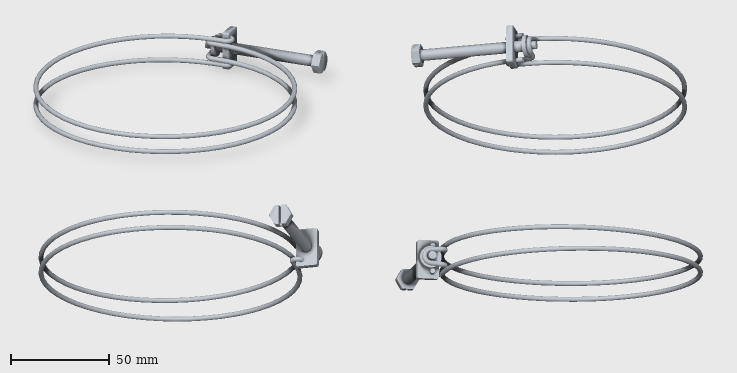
import cadquery as cq
import math


wire_dia = 2.5
ring_outer_dia = 134.6
ring_r = (ring_outer_dia - wire_dia) / 2
ring_z = 4.1
hook_z = 6.6
hook_start_x = 5.1
hook_bend_r = 2.6
hook_turn = math.radians(172)
hook_end_x = -0.9
loop_r = 3.5
loop_bend_r = 3.1

screw_y = 73.9
shaft_dia = 5.9
tip_dia = 4.1
collar_dia = 11.2
tip_end_x = -8.4
collar_x = -3.8
collar_length = 1.9
head_x = 52.0
head_length = 4.4
head_across_corners = 11.9
head_chamfer = 0.6
slot_width = 1.3
slot_depth = 2.5

plate_x = 2.8
plate_thickness = 3.4
plate_width = 11.2
plate_height = 20.0
plate_corner_r = 1.0

loop_x = collar_x - wire_dia / 2 - 0.07


def arc(center, radius, first, second, turn):
    """Arc from center + radius * first, turning towards the direction second."""
    def point(angle):
        return center + (first * math.cos(angle) + second * math.sin(angle)) * radius
    return cq.Edge.makeThreePointArc(point(0), point(turn / 2), point(turn))


def hook_path():
    """Path from the ring through the plate to the free end of the upper strand."""
    start = cq.Vector(hook_start_x, ring_r, hook_z)
    center = start + cq.Vector(0, hook_bend_r, 0)
    lead = cq.Edge.makeLine(cq.Vector(0, ring_r, hook_z), start)
    bend = arc(center, hook_bend_r, cq.Vector(0, -1, 0), cq.Vector(1, 0, 0), hook_turn)
    bend_end = bend.endPoint()
    tail_length = (bend_end.x - hook_end_x) / -math.cos(hook_turn)
    tail_direction = cq.Vector(math.cos(hook_turn), math.sin(hook_turn), 0)
    tail = cq.Edge.makeLine(bend_end, bend_end + tail_direction * tail_length)
    return [lead, bend, tail]


def ring_path():
    """Two half rings: one level, one tilted so that it climbs from ring_z to hook_z."""
    front = cq.Vector(0, -ring_r, ring_z)
    tilt_r = math.hypot(ring_r, (hook_z - ring_z) / 2)
    tilted = cq.Edge.makeThreePointArc(
        cq.Vector(0, ring_r, hook_z), cq.Vector(-tilt_r, 0, (hook_z + ring_z) / 2), front
    )
    level = cq.Edge.makeThreePointArc(
        front, cq.Vector(ring_r, 0, ring_z), cq.Vector(0, ring_r, ring_z)
    )
    return [tilted, level]


def loop_path():
    """Path from the level half ring up to the crown of the loop on the mid plane."""
    rise = screw_y - ring_r
    lean = math.acos(loop_r / math.hypot(rise, ring_z)) - math.atan2(rise, ring_z)
    leg_up = cq.Vector(0, math.cos(lean), -math.sin(lean))
    leg_out = cq.Vector(0, math.sin(lean), math.cos(lean))
    bend_start = cq.Vector(loop_x + loop_bend_r, ring_r, ring_z)
    lead = cq.Edge.makeLine(cq.Vector(0, ring_r, ring_z), bend_start)
    bend = arc(
        bend_start + leg_up * loop_bend_r, loop_bend_r, leg_up * -1, cq.Vector(-1, 0, 0), math.pi / 2
    )
    center = cq.Vector(loop_x, screw_y, 0)
    crown = arc(center, loop_r, leg_out, leg_up, math.pi / 2 - lean)
    leg = cq.Edge.makeLine(bend.endPoint(), crown.startPoint())
    return [lead, bend, leg, crown]


def make_wire():
    """One continuous wire, symmetric about the mid plane."""
    path = cq.Wire.assembleEdges(hook_path()[::-1] + ring_path() + loop_path())
    end = hook_path()[-1]
    profile_plane = cq.Plane(end.endPoint(), (0, 0, 1), end.tangentAt(1))
    upper = cq.Workplane(profile_plane).circle(wire_dia / 2).sweep(path)
    return upper.union(upper.mirror("XY"))


def rod(start_x, end_x, diameter):
    """Cylinder on the screw axis."""
    return (
        cq.Workplane("YZ", origin=(start_x, screw_y, 0))
        .circle(diameter / 2)
        .extrude(end_x - start_x)
    )


def make_head():
    """Hexagon head with chamfered outer corners and a screwdriver slot."""
    head_end_x = head_x + head_length
    head = (
        cq.Workplane("YZ", origin=(head_x, screw_y, 0))
        .polygon(6, head_across_corners)
        .extrude(head_length)
    )
    rounding = rod(head_x, head_end_x, head_across_corners).faces(">X").chamfer(head_chamfer)
    slot = cq.Workplane("XY").box(2 * slot_depth, slot_width, 2 * head_across_corners)
    return head.intersect(rounding).cut(slot.translate((head_end_x, screw_y, 0)))


def make_screw():
    tip = rod(tip_end_x, collar_x, tip_dia)
    collar = rod(collar_x, collar_x + collar_length, collar_dia)
    shaft = rod(collar_x, head_x, shaft_dia)
    return tip.union(collar).union(shaft).union(make_head())


def make_plate(screw, wire):
    """Plate with holes that fit the screw shaft and the two wire ends."""
    plate = (
        cq.Workplane("YZ", origin=(plate_x, screw_y, 0))
        .rect(plate_width, plate_height)
        .extrude(plate_thickness)
        .edges("|X")
        .fillet(plate_corner_r)
    )
    return plate.cut(screw).cut(wire)


clamp_wire = make_wire()
clamp_screw = make_screw()
clamp_plate = make_plate(clamp_screw, clamp_wire)

bodies = [clamp_wire, clamp_screw, clamp_plate]
result = cq.Compound.makeCompound([body.solids().val() for body in bodies])